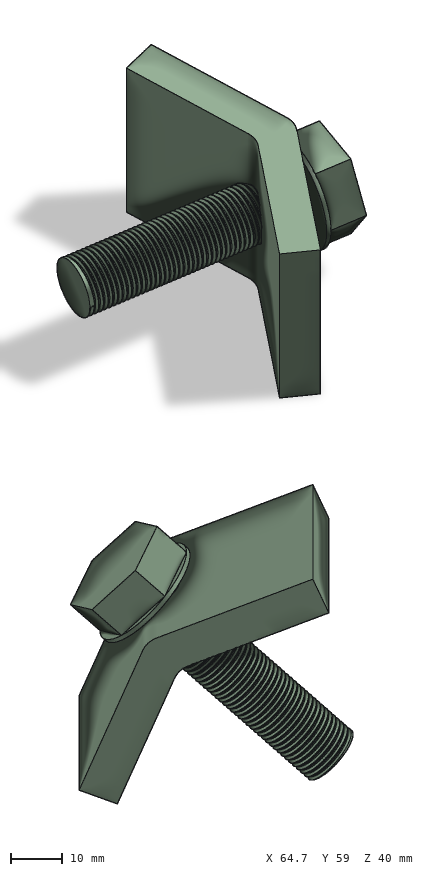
import cadquery as cq
import math


plate_span = 64.7
plate_height = 40.0
plate_thickness = 8.0
leg_angle = 22.5
bend_radius = 5.0

shank_diameter = 12.6
shank_length = 50.0
flange_diameter = 24.0
flange_thickness = 1.0
head_height = 8.0
head_across_corners = flange_diameter

thread_length = 44.4
groove_stretches = 6
turns_per_stretch = 7
stretch_length = thread_length / groove_stretches
pitch = stretch_length / turns_per_stretch
groove_depth = 0.57
groove_mouth = pitch * 7 / 8
groove_root = pitch / 4
tip_offset = 0.45
cutter_overlap = 0.05


def make_plate():
    """V-bent plate with sloping legs, square leg ends and a through hole at the bend."""
    slope = math.radians(leg_angle)
    outer_x = plate_span / 2
    outer_y = -outer_x * math.tan(slope)
    inner_x = outer_x - plate_thickness * math.sin(slope)
    inner_y = outer_y - plate_thickness * math.cos(slope)
    inner_apex_y = -plate_thickness / math.cos(slope)
    outline = [
        (0, 0),
        (outer_x, outer_y),
        (inner_x, inner_y),
        (0, inner_apex_y),
        (-inner_x, inner_y),
        (-outer_x, outer_y),
    ]
    plate = cq.Workplane("XY").polyline(outline).close().extrude(plate_height / 2, both=True)
    outer_bend = cq.NearestToPointSelector((0, 0, 0))
    inner_bend = cq.NearestToPointSelector((0, inner_apex_y, 0))
    plate = plate.edges("|Z").edges(outer_bend + inner_bend).fillet(bend_radius)
    hole = cq.Workplane("XZ").circle(shank_diameter / 2).extrude(plate_span, both=True)
    return plate.cut(hole)


def make_groove_stretch():
    """Cutter for one stretch of the groove around Z, starting at Z = 0 on the +X side."""
    crest_radius = shank_diameter / 2
    root_radius = crest_radius - groove_depth
    flank_slope = (groove_mouth - groove_root) / 2 / groove_depth
    mouth_half = groove_mouth / 2 + cutter_overlap * flank_slope
    root_half = groove_root / 2
    helix = cq.Wire.makeHelix(pitch, stretch_length, crest_radius)
    section = [
        (root_radius, -root_half),
        (crest_radius + cutter_overlap, -mouth_half),
        (crest_radius + cutter_overlap, mouth_half),
        (root_radius, root_half),
    ]
    return cq.Workplane("XZ").polyline(section).close().sweep(cq.Workplane(helix), isFrenet=True)


def make_threaded_shank():
    """Shank standing on its tip at Z = 0, with the groove cut stretch by stretch."""
    shank = cq.Workplane("XY").circle(shank_diameter / 2).extrude(shank_length)
    groove_stretch = make_groove_stretch().val()
    cutters = [
        groove_stretch.translate(cq.Vector(0, 0, tip_offset + i * stretch_length))
        for i in range(groove_stretches)
    ]
    return cq.Workplane(shank.val().cut(*cutters))


def make_bolt():
    """Hexagon flange bolt, modelled upright on its tip and then laid along Y."""
    flange = (
        cq.Workplane("XY")
        .workplane(offset=shank_length)
        .circle(flange_diameter / 2)
        .extrude(flange_thickness)
    )
    head = (
        cq.Workplane("XY")
        .workplane(offset=shank_length + flange_thickness)
        .polygon(6, head_across_corners)
        .extrude(head_height)
    )
    bolt = make_threaded_shank().union(flange).union(head)
    return bolt.rotate((0, 0, 0), (1, 0, 0), -90).translate((0, -shank_length, 0))


plate = make_plate()
bolt = make_bolt()

result = cq.Compound.makeCompound([plate.solids().val(), bolt.solids().val()])